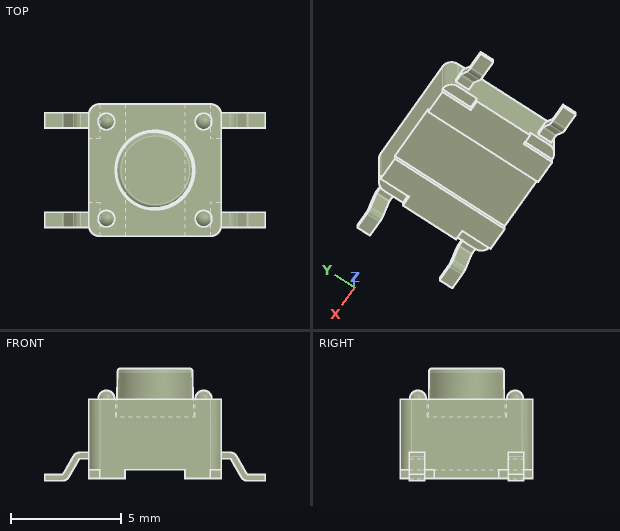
import cadquery as cq
import math

housing_side = 6.0
housing_height = 3.6
corner_radius = 0.5
half_side = housing_side / 2

relief_height = 0.4
channel_width = 2.7
corner_notch_depth = 0.5
side_foot_length = 2.9

post_diameter = 0.75
post_height = 0.4
post_offset = 2.2

lead_span = 10.0
lead_width = 0.7
lead_thickness = 0.3
lead_offset = 2.25
lead_bottom = -0.1
lead_arm_top = 1.2
lead_foot_length = 0.8
lead_slope = math.radians(60)
bend_inner_radius = 0.05
bend_outer_radius = bend_inner_radius + lead_thickness

button_top = 5.0
button_base_radius = 1.75
button_top_radius = 1.7
button_edge_radius = 0.15
hole_diameter = 3.6
hole_depth = 0.8
hole_floor = housing_height - hole_depth


def make_block():
    """Rounded housing block with the underside relief removed."""
    block = (
        cq.Workplane("XY")
        .rect(housing_side, housing_side)
        .extrude(housing_height)
        .edges("|Z")
        .fillet(corner_radius)
    )
    channel = cq.Workplane("XY").rect(channel_width, housing_side).extrude(relief_height)
    notch_length = (housing_side - side_foot_length) / 2
    notch_x = half_side - corner_notch_depth / 2
    notch_y = half_side - notch_length / 2
    notches = (
        cq.Workplane("XY")
        .rect(2 * notch_x, 2 * notch_y, forConstruction=True)
        .vertices()
        .rect(corner_notch_depth, notch_length)
        .extrude(relief_height)
    )
    return block.cut(channel).cut(notches)


def make_post(x, y):
    """Short cylinder ending in a hemisphere."""
    radius = post_diameter / 2
    dome_base = post_height - radius
    return (
        cq.Workplane("XZ")
        .lineTo(radius, 0)
        .lineTo(radius, dome_base)
        .radiusArc((0, post_height), -radius)
        .close()
        .revolve(360, (0, 0, 0), (0, 1, 0))
        .translate((x, y, housing_height))
    )


def bend_point(center, radius, angle):
    """Point on a bend, with the angle measured from straight up toward -X."""
    return (center[0] - radius * math.sin(angle), center[1] + radius * math.cos(angle))


def make_lead(y):
    """Gull-wing lead on the -X side, with its centre plane at y."""
    foot_tip = -lead_span / 2
    arm_root = corner_radius - half_side
    foot_top = lead_bottom + lead_thickness
    arm_bottom = lead_arm_top - lead_thickness

    bend_mid_diameter = bend_inner_radius + bend_outer_radius
    low_z = lead_bottom + bend_outer_radius
    high_z = lead_arm_top - bend_outer_radius
    slope_length = (high_z - low_z + bend_mid_diameter * math.cos(lead_slope)) / math.sin(lead_slope)
    center_gap = bend_mid_diameter * math.sin(lead_slope) + slope_length * math.cos(lead_slope)
    low = (foot_tip + lead_foot_length, low_z)
    high = (low[0] + center_gap, high_z)

    half_bend = lead_slope / 2
    low_half_bend = math.pi + half_bend
    low_slope_end = math.pi + lead_slope
    profile = (
        cq.Workplane("XZ", origin=(0, y, 0))
        .moveTo(foot_tip, lead_bottom)
        .lineTo(low[0], lead_bottom)
        .threePointArc(
            bend_point(low, bend_outer_radius, low_half_bend),
            bend_point(low, bend_outer_radius, low_slope_end),
        )
        .lineTo(*bend_point(high, bend_inner_radius, lead_slope))
        .threePointArc(
            bend_point(high, bend_inner_radius, half_bend),
            (high[0], arm_bottom),
        )
        .lineTo(arm_root, arm_bottom)
        .lineTo(arm_root, lead_arm_top)
        .lineTo(high[0], lead_arm_top)
        .threePointArc(
            bend_point(high, bend_outer_radius, half_bend),
            bend_point(high, bend_outer_radius, lead_slope),
        )
        .lineTo(*bend_point(low, bend_inner_radius, low_slope_end))
        .threePointArc(
            bend_point(low, bend_inner_radius, low_half_bend),
            (low[0], foot_top),
        )
        .lineTo(foot_tip, foot_top)
        .close()
    )
    return profile.extrude(lead_width / 2, both=True)


def make_housing():
    """Housing with its posts, leads and button hole, as one solid."""
    body = make_block()
    for y_side in (-1, 1):
        lead = make_lead(y_side * lead_offset)
        body = body.union(lead).union(lead.mirror("YZ"))
        for x_side in (-1, 1):
            body = body.union(make_post(x_side * post_offset, y_side * post_offset))
    hole = cq.Workplane("XY", origin=(0, 0, hole_floor)).circle(hole_diameter / 2).extrude(hole_depth)
    return body.cut(hole).solids()


def make_button():
    """Tapered round button with a rounded top edge, standing on the hole floor."""
    return (
        cq.Workplane("XZ")
        .moveTo(0, hole_floor)
        .lineTo(button_base_radius, hole_floor)
        .lineTo(button_top_radius, button_top)
        .lineTo(0, button_top)
        .close()
        .revolve(360, (0, 0, 0), (0, 1, 0))
        .faces(">Z")
        .edges()
        .fillet(button_edge_radius)
        .solids()
    )


housing = make_housing()
button = make_button()
result = cq.Compound.makeCompound([housing.val(), button.val()])